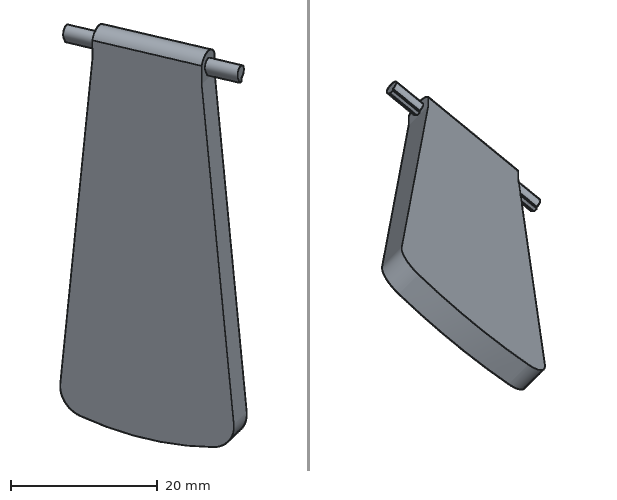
import cadquery as cq
import math

total_height = 61.0
thickness = 4.0
top_width = 16.6

pin_length = 26.5
pin_radius = 1.0
tooth_depth = 1.5
tooth_flank_angle = math.radians(30)

crown_radius = 2.15

straight_height = 4.2
blade_width = 27.0
bottom_radius = 45.0
corner_radius = 4.0

pin_z = total_height - crown_radius
crown_edge_z = pin_z + math.sqrt(crown_radius**2 - (thickness / 2) ** 2)
taper_start_z = total_height - straight_height
blade_corner_z = bottom_radius - math.sqrt(bottom_radius**2 - (blade_width / 2) ** 2)


def make_blade():
    """Flat tapered plate with a bowed bottom edge and rounded lower corners."""
    half_top = top_width / 2
    half_bottom = blade_width / 2
    plate = (
        cq.Workplane("XZ")
        .moveTo(-half_top, total_height)
        .lineTo(-half_top, taper_start_z)
        .lineTo(-half_bottom, blade_corner_z)
        .threePointArc((0, 0), (half_bottom, blade_corner_z))
        .lineTo(half_top, taper_start_z)
        .lineTo(half_top, total_height)
        .close()
        .extrude(thickness / 2, both=True)
    )
    lower_corners = cq.selectors.BoxSelector(
        (-pin_length, -thickness, 0), (pin_length, thickness, taper_start_z / 2)
    )
    plate = plate.edges("|Y").edges(lower_corners).fillet(corner_radius)
    return plate.intersect(make_side_profile())


def make_side_profile():
    """Side outline of the blade with its crowned top, wide enough to cover the blade."""
    half = thickness / 2
    return (
        cq.Workplane("YZ")
        .moveTo(-half, 0)
        .lineTo(-half, crown_edge_z)
        .threePointArc((0, total_height), (half, crown_edge_z))
        .lineTo(half, 0)
        .close()
        .extrude(blade_width, both=True)
    )


def make_pin():
    """Hinge pin along X: a rod whose tooth has a sloped front flank and an upright back."""
    tip_z = pin_z - tooth_depth
    flank_y = -pin_radius * math.cos(tooth_flank_angle)
    flank_z = pin_z - pin_radius * math.sin(tooth_flank_angle)
    tip_y = flank_y + (flank_z - tip_z) * math.tan(tooth_flank_angle)
    back_y = -tip_y
    rod = cq.Workplane("YZ").center(0, pin_z).circle(pin_radius).extrude(pin_length / 2, both=True)
    tooth = (
        cq.Workplane("YZ")
        .moveTo(back_y, pin_z)
        .lineTo(back_y, tip_z)
        .lineTo(tip_y, tip_z)
        .lineTo(flank_y, flank_z)
        .close()
        .extrude(pin_length / 2, both=True)
    )
    return rod.union(tooth)


result = make_blade().union(make_pin())